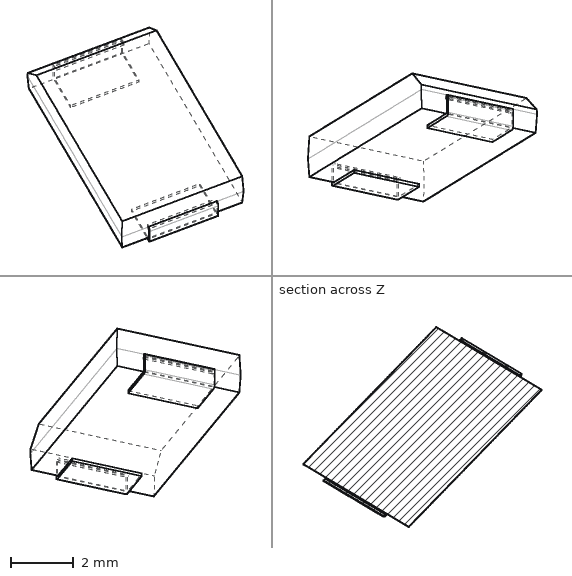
import cadquery as cq
import math

LENGTH = 7.3
WIDTH = 4.3
HEIGHT = 1.5

LEAD_THICKNESS = 0.1
LEAD_WIDTH = 2.41
LEFT_FOOT_LENGTH = 1.315
RIGHT_FOOT_LENGTH = 1.41
LEAD_TOP_Z = 0.73
BEND_RADIUS = LEAD_THICKNESS
STUB_DEPTH = 0.1

PARTING_Z = 0.74
UPPER_DRAFT = 2.5
LOWER_DRAFT = 3.0
BEVEL_START_Z = 0.9
BEVEL_TOP_RUN = 0.72

HOUSING_LENGTH = LENGTH - 2 * LEAD_THICKNESS
HOUSING_BOTTOM_Z = LEAD_THICKNESS
LEAD_OUTER_X = LENGTH / 2
LEAD_INNER_X = LEAD_OUTER_X - LEAD_THICKNESS
STUB_END_X = LEAD_INNER_X - STUB_DEPTH
BEND_MIDDLE_INSET = BEND_RADIUS * (1 - math.sqrt(0.5))


def make_lead(side, foot_length):
    """C-shaped lead on the +X side (side = 1) or the -X side (side = -1)."""
    foot_end_x = LEAD_OUTER_X - foot_length
    profile = (
        cq.Workplane("XZ", origin=(0, LEAD_WIDTH / 2, 0))
        .moveTo(foot_end_x, 0)
        .lineTo(LEAD_OUTER_X - BEND_RADIUS, 0)
        .threePointArc(
            (LEAD_OUTER_X - BEND_MIDDLE_INSET, BEND_MIDDLE_INSET),
            (LEAD_OUTER_X, BEND_RADIUS),
        )
        .lineTo(LEAD_OUTER_X, LEAD_TOP_Z - BEND_RADIUS)
        .threePointArc(
            (LEAD_OUTER_X - BEND_MIDDLE_INSET, LEAD_TOP_Z - BEND_MIDDLE_INSET),
            (LEAD_OUTER_X - BEND_RADIUS, LEAD_TOP_Z),
        )
        .lineTo(STUB_END_X, LEAD_TOP_Z)
        .lineTo(STUB_END_X, LEAD_TOP_Z - LEAD_THICKNESS)
        .lineTo(LEAD_INNER_X, LEAD_TOP_Z - LEAD_THICKNESS)
        .lineTo(LEAD_INNER_X, LEAD_THICKNESS)
        .lineTo(foot_end_x, LEAD_THICKNESS)
        .close()
    )
    lead = profile.extrude(LEAD_WIDTH)
    if side < 0:
        lead = lead.mirror("YZ")
    return lead


def make_half(height, draft):
    """Drafted block from the parting level; a negative height goes down."""
    return (
        cq.Workplane("XY", origin=(0, 0, PARTING_Z))
        .rect(HOUSING_LENGTH, WIDTH)
        .extrude(height, taper=draft)
    )


def make_bevel_cutter():
    """Wedge that removes the upper edge on the -X side."""
    draft_inset = (BEVEL_START_Z - PARTING_Z) * math.tan(math.radians(UPPER_DRAFT))
    return (
        cq.Workplane("XZ", origin=(0, WIDTH / 2, 0))
        .moveTo(-HOUSING_LENGTH / 2 + draft_inset, BEVEL_START_Z)
        .lineTo(-LEAD_OUTER_X + BEVEL_TOP_RUN, HEIGHT)
        .lineTo(-LEAD_OUTER_X, HEIGHT)
        .lineTo(-LEAD_OUTER_X, BEVEL_START_Z)
        .close()
        .extrude(WIDTH)
    )


def make_housing(leads):
    """Moulded housing with a recess for the upper leg of each lead."""
    upper = make_half(HEIGHT - PARTING_Z, UPPER_DRAFT)
    lower = make_half(HOUSING_BOTTOM_Z - PARTING_Z, LOWER_DRAFT)
    housing = upper.union(lower).cut(make_bevel_cutter())
    for lead in leads:
        housing = housing.cut(lead)
    return housing.solids()


leads = [make_lead(-1, LEFT_FOOT_LENGTH), make_lead(1, RIGHT_FOOT_LENGTH)]
housing = make_housing(leads)

result = cq.Compound.makeCompound([housing.val(), *[lead.val() for lead in leads]])